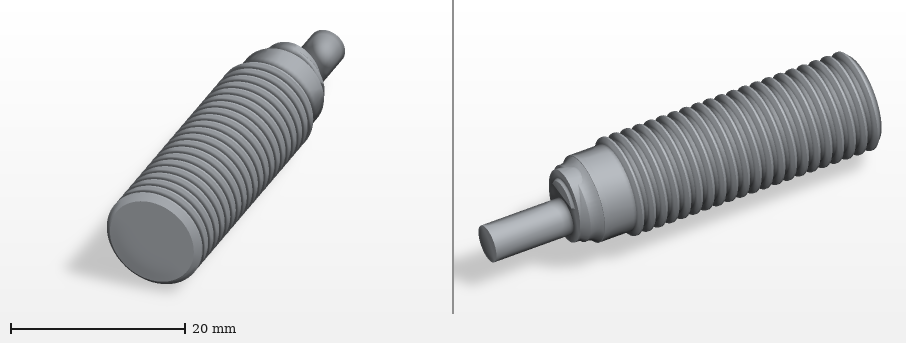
import cadquery as cq
import math


THREAD_RADIUS = 6.0
CORE_RADIUS = 5.3
HOUSING_LENGTH = 35.05
THREAD_PITCH = 1.52
RIDGE_COUNT = 21
CREST_WIDTH = 0.23
FLANK_ANGLE = 30.0
THREAD_DEPTH = THREAD_RADIUS - CORE_RADIUS
FLANK_WIDTH = THREAD_DEPTH * math.tan(math.radians(FLANK_ANGLE))
FRONT_CHAMFER = 0.66

CAP_RADIUS = 4.85
CAP_DEPTH = 1.0

FLANGE_LENGTH = 0.7
NECK_LENGTH = 2.5
FLARE_RADIUS = 5.2
WAIST_RADIUS = 4.65
FLARE_ARC_RADIUS = 1.9
LIP_RADIUS = 4.68
LIP_LENGTH = 0.95
PLUG_END_RADIUS = 3.9
PLUG_HEIGHT = 9.6
FLANGE_END = HOUSING_LENGTH + FLANGE_LENGTH
PLUG_END = FLANGE_END + NECK_LENGTH

CABLE_DIAMETER = 4.5
CABLE_Z = -1.6
CABLE_END = 48.21

LIGHT_BASE_RADIUS = 2.75
LIGHT_TIP_RADIUS = 2.5
LIGHT_HEIGHT = 0.35
LIGHT_BOTTOM_Z = 1.78
LIGHT_CENTER_Z = 0.85


def disc(radius, start, end, z=0.0):
    """Cylinder along Y from start to end, centred at X = 0 and the given Z."""
    plane = cq.Plane(origin=(0, start, z), xDir=(1, 0, 0), normal=(0, 1, 0))
    return cq.Workplane(plane).circle(radius).extrude(end - start)


def turned(profile):
    """Revolve a closed (radius, Y) profile drawn in the XY plane about Y."""
    return profile.close().revolve(360, (0, 0, 0), (0, 1, 0))


def make_housing():
    """Core with evenly spaced thread ridges, a front chamfer and a cap recess."""
    profile = (
        cq.Workplane("XY")
        .moveTo(0, 0)
        .lineTo(CORE_RADIUS, 0)
        .lineTo(THREAD_RADIUS, FRONT_CHAMFER)
    )
    for index in range(RIDGE_COUNT):
        crest_start = FRONT_CHAMFER + index * THREAD_PITCH
        crest_end = crest_start + CREST_WIDTH
        if index > 0:
            profile = profile.lineTo(CORE_RADIUS, crest_start - FLANK_WIDTH)
            profile = profile.lineTo(THREAD_RADIUS, crest_start)
        profile = profile.lineTo(THREAD_RADIUS, crest_end)
        profile = profile.lineTo(CORE_RADIUS, crest_end + FLANK_WIDTH)
    profile = profile.lineTo(CORE_RADIUS, HOUSING_LENGTH).lineTo(0, HOUSING_LENGTH)
    return turned(profile).cut(disc(CAP_RADIUS, 0, CAP_DEPTH))


def make_cap():
    return disc(CAP_RADIUS, 0, CAP_DEPTH)


def make_plug():
    """Flange, flared neck and tapered lip, joined with an elliptical boss."""
    lip_start = PLUG_END - LIP_LENGTH
    flare_angle = math.acos(1 - (FLARE_RADIUS - WAIST_RADIUS) / FLARE_ARC_RADIUS)
    flare_start = FLANGE_END + FLARE_ARC_RADIUS * math.sin(flare_angle)
    flare_middle = (
        WAIST_RADIUS + FLARE_ARC_RADIUS * (1 - math.cos(flare_angle / 2)),
        flare_start - FLARE_ARC_RADIUS * math.sin(flare_angle / 2),
    )
    neck = turned(
        cq.Workplane("XY")
        .moveTo(0, HOUSING_LENGTH)
        .lineTo(CORE_RADIUS, HOUSING_LENGTH)
        .lineTo(CORE_RADIUS, FLANGE_END)
        .lineTo(FLARE_RADIUS, FLANGE_END)
        .threePointArc(flare_middle, (WAIST_RADIUS, flare_start))
        .lineTo(WAIST_RADIUS, lip_start)
        .lineTo(LIP_RADIUS, lip_start)
        .lineTo(PLUG_END_RADIUS, PLUG_END)
        .lineTo(0, PLUG_END)
    )
    boss_plane = cq.Plane(origin=(0, FLANGE_END, 0), xDir=(1, 0, 0), normal=(0, 1, 0))
    boss = (
        cq.Workplane(boss_plane)
        .ellipse(PLUG_END_RADIUS, PLUG_HEIGHT / 2)
        .extrude(NECK_LENGTH)
    )
    return neck.union(boss)


def make_cable():
    return disc(CABLE_DIAMETER / 2, PLUG_END, CABLE_END, CABLE_Z)


def make_light():
    """Tapered disc on the end of the plug, cut flat underneath."""
    cone = cq.Solid.makeCone(
        LIGHT_BASE_RADIUS,
        LIGHT_TIP_RADIUS,
        LIGHT_HEIGHT,
        pnt=cq.Vector(0, PLUG_END, LIGHT_CENTER_Z),
        dir=cq.Vector(0, 1, 0),
    )
    width = 2 * LIGHT_BASE_RADIUS
    above = (
        cq.Workplane("XY", origin=(0, PLUG_END, LIGHT_BOTTOM_Z))
        .box(width, width, width, centered=(True, True, False))
    )
    return cq.Workplane(cone).intersect(above)


housing = make_housing()
cap = make_cap()
plug = make_plug()
cable = make_cable()
light = make_light()

result = cq.Compound.makeCompound(
    [housing.val(), cap.val(), plug.val(), cable.val(), light.val()]
)